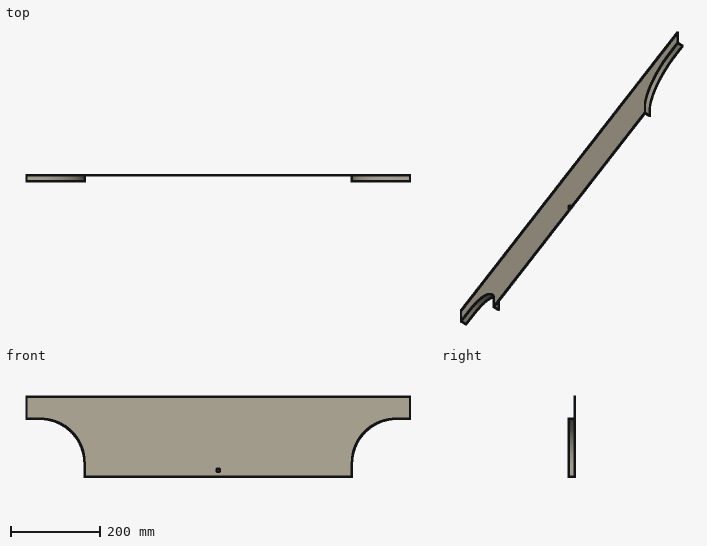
import cadquery as cq

length = 860.0
depth = 14.0
height = 180.0
sheet = 1.0

notch = 130.0
bend_radius = 100.0
notch_radius = bend_radius - sheet

hole_diameter = 7.0
hole_above_bottom = 15.0

half_length = length / 2
bottom = -height / 2
back = depth / 2


def plate():
    """Flat sheet whose rear face lies at the back of the part."""
    return cq.Workplane("XY").box(length, sheet, height).translate((0, back - sheet / 2, 0))


def notch_block(side, growth=0.0):
    """Full-depth block filling a lower corner, grown into the plate; side is -1 or +1."""
    size = notch + growth
    inner_edges = "<X" if side > 0 else ">X"
    return (
        cq.Workplane("XY")
        .box(size, depth, size)
        .edges("|Y")
        .edges(inner_edges)
        .edges(">Z")
        .fillet(notch_radius + growth)
        .translate((side * (half_length - size / 2), 0, bottom + size / 2))
    )


def flange(side):
    """Sheet-thick lip following the notch edge over the full depth."""
    return notch_block(side, sheet).cut(notch_block(side))


def fixing_hole():
    """Cutter for the hole on the centre line, near the bottom edge."""
    return (
        cq.Workplane("XZ", origin=(0, back, bottom + hole_above_bottom))
        .circle(hole_diameter / 2)
        .extrude(sheet)
    )


result = plate().cut(fixing_hole())
for side in (-1, 1):
    result = result.cut(notch_block(side)).union(flange(side))